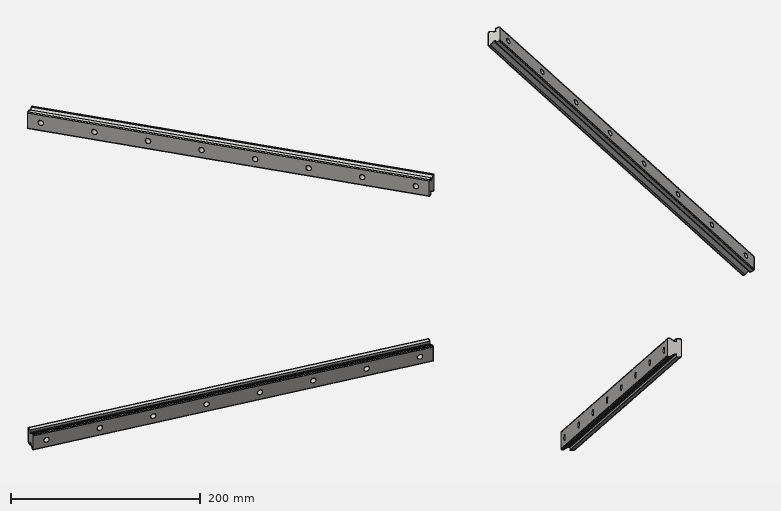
import cadquery as cq
import math

LENGTH = 450.0
HEIGHT = 15.5
WIDTH = 20.0

BASE_CHAMFER = 1.0
BASE_HEIGHT = 5.8

GROOVE_DEPTH = 3.2
GROOVE_FLOOR = 1.7
FLANK_HEIGHT = 3.8
FLANK_ANGLE = 30.0

HEAD_CHAMFER = 0.9
HEAD_LAND = 1.0
HEAD_BEVEL_HEIGHT = 1.2
HEAD_BEVEL_DEPTH = 0.2

HOLE_DIAMETER = 6.0
HOLE_PITCH = 60.0
HOLE_COUNT = 8


def make_rail():
    """Extrude the grooved rail section, centred on the origin."""
    half_height = HEIGHT / 2
    half_width = WIDTH / 2

    base_bottom = -half_height
    base_top = base_bottom + BASE_HEIGHT
    flank_bottom = base_top + GROOVE_FLOOR
    flank_top = flank_bottom + FLANK_HEIGHT
    land_top = half_height - HEAD_CHAMFER
    land_bottom = land_top - HEAD_LAND
    bevel_bottom = land_bottom - HEAD_BEVEL_HEIGHT

    floor_z = half_width - GROOVE_DEPTH
    flank_z = floor_z + FLANK_HEIGHT * math.tan(math.radians(FLANK_ANGLE))

    upper_side = [
        (base_bottom, half_width - BASE_CHAMFER),
        (base_bottom + BASE_CHAMFER, half_width),
        (base_top, half_width),
        (base_top, floor_z),
        (flank_bottom, floor_z),
        (flank_top, flank_z),
        (bevel_bottom, half_width - HEAD_BEVEL_DEPTH),
        (land_bottom, half_width),
        (land_top, half_width),
        (half_height, half_width - HEAD_CHAMFER),
    ]
    lower_side = [(y, -z) for y, z in reversed(upper_side)]
    outline = upper_side + lower_side
    return cq.Workplane("YZ").polyline(outline).close().extrude(LENGTH / 2, both=True)


def make_holes():
    """Row of plain holes through the rail from base to head."""
    return (
        cq.Workplane("XZ")
        .rarray(HOLE_PITCH, 1, HOLE_COUNT, 1)
        .circle(HOLE_DIAMETER / 2)
        .extrude(HEIGHT, both=True)
    )


result = make_rail().cut(make_holes())